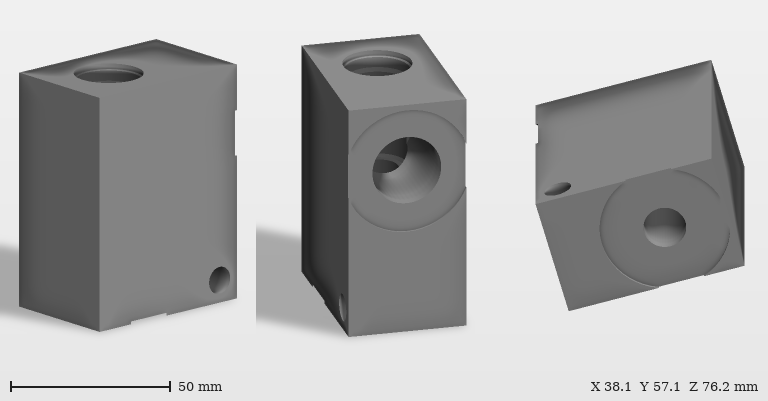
import cadquery as cq

width = 38.1
depth = 57.15
height = 76.2

recess_radius = 20.4
bottom_recess_depth = 0.9
back_recess_depth = 0.8
back_recess_z = 53.95
front_skin = 0.1

bore_y = front_skin + recess_radius - depth / 2
rim_radius = 11.0
rim_depth = 1.75
neck_radius = 10.3
neck_chamfer = 0.3
neck_depth = 5.4
main_radius = 9.45
main_cone_depth = 6.6
floor_radius = 8.5
floor_depth = 35.05
through_radius = 6.7

cavity_radius = 11.1

cross_hole_diameter = 8.8
cross_hole_y = depth / 2 - 7.2
cross_hole_z = 7.25


def cylinder(start, direction, radius, length):
    return cq.Workplane(cq.Solid.makeCylinder(radius, length, cq.Vector(*start), cq.Vector(*direction)))


def make_stepped_bore():
    """Revolve the half profile, given as (radius, depth below the top face)."""
    floor_cone = main_radius - floor_radius
    profile = [
        (0, 0),
        (rim_radius, 0),
        (rim_radius, rim_depth),
        (neck_radius + neck_chamfer, rim_depth),
        (neck_radius, rim_depth + neck_chamfer),
        (neck_radius, neck_depth),
        (main_radius, main_cone_depth),
        (main_radius, floor_depth - floor_cone),
        (floor_radius, floor_depth),
        (through_radius, floor_depth),
        (through_radius, height),
        (0, height),
    ]
    points = [(radius, -below) for radius, below in profile]
    bore = cq.Workplane("XZ").polyline(points).close().revolve(360, (0, 0), (0, 1))
    return bore.translate((0, bore_y, height))


result = cq.Workplane("XY").box(width, depth, height, centered=(True, True, False))
bottom_recess = cylinder((0, bore_y, 0), (0, 0, 1), recess_radius, bottom_recess_depth)
back_recess = cylinder((0, depth / 2, back_recess_z), (0, -1, 0), recess_radius, back_recess_depth)
cavity = cylinder((0, depth / 2, back_recess_z), (0, -1, 0), cavity_radius, depth / 2 - bore_y)
cross_hole = cylinder((-width / 2, cross_hole_y, cross_hole_z), (1, 0, 0), cross_hole_diameter / 2, width)

for tool in (make_stepped_bore(), bottom_recess, back_recess, cavity, cross_hole):
    result = result.cut(tool)